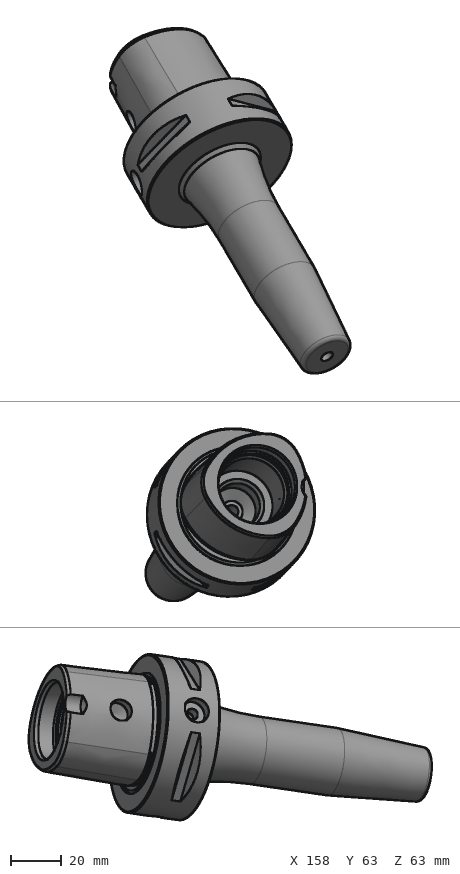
import cadquery as cq
import math

total_length = 158.0
flange_start = 37.8
flange_end = 60.0
flange_diameter = 63.0
flange_radius = flange_diameter / 2
flange_chamfer = 0.5
rim_feature_x = 50.1

taper_end = 35.9
lobe_tip_radius = 23.2
flat_radius = 21.0
lobe_arc_radius = 14.4
taper_slope = 1 / 40
shank_end_inset = 0.71
shank_end_length = 1.5
neck_inset = 0.3
neck_turned_radius = 22.1
neck_turned_start = 36.8

ring_outer_radius = 24.0
ring_inner_radius = 22.8
ring_depth = 1.0

collar_radius = 17.9
stem_flare_radius = 16.5
stem_flare_start = 62.0
stem_radius = 13.5
stem_start = 86.7
nose_taper_start = 119.6
nose_radius = 10.7
nose_edge_radius = 1.7

drill_point_angle = 118.0

mouth_radius = 16.0
mouth_chamfer_length = 1.6
socket_radius = 15.3
socket_depth = 7.7
land_radius = 14.5
land_start = 8.5
groove_radius = 15.0
groove_start = 9.5
groove_end = 10.7
land_end = 11.7
main_bore_radius = 13.6
main_bore_start = 13.5
main_bore_depth = 34.8
inner_bore_radius = 10.3
inner_bore_chamfer = 1.5
inner_bore_depth = 44.2
cone_end_radius = 4.3
through_hole_radius = 2.5

notch_radius = 4.5
notch_axis_radius = 22.1
notch_depth = 6.5

shank_hole_x = 22.5
shank_hole_radius = 4.5
shank_hole_floor_radius = 16.5
flange_hole_radius = 5.0
flange_hole_floor_radius = 26.9
flange_pilot_radius = 2.2
flange_pilot_floor_radius = 22.1

slot_floor_radius = 27.8
slot_floor_width = 3.6
slot_mouth_width = 7.7
slot_angles = (45, 135, 225, 315)


def polar(radius, degrees):
    """Point in the YZ plane, measured from +Y toward +Z."""
    angle = math.radians(degrees)
    return (radius * math.cos(angle), radius * math.sin(angle))


def lobed_wire(x, inset):
    """Closed outline of three lobe arcs and three side arcs, tangent to each other."""
    tip = lobe_tip_radius - inset
    flat = flat_radius - inset
    lobe_arc = lobe_arc_radius - inset
    lobe_offset = tip - lobe_arc
    gap = flat - lobe_arc
    side_offset = (lobe_offset**2 - gap**2) / (2 * gap - lobe_offset)
    side_arc = flat + side_offset

    lobe_y, lobe_z = lobe_offset, 0.0
    side_y, side_z = polar(side_offset, -120)
    reach = side_arc / (side_arc - lobe_arc)
    joint_y = side_y + (lobe_y - side_y) * reach
    joint_z = side_z + (lobe_z - side_z) * reach
    joint_radius = math.hypot(joint_y, joint_z)
    joint_angle = math.degrees(math.atan2(joint_z, joint_y))

    outline = cq.Workplane("YZ", origin=(x, 0, 0)).moveTo(*polar(joint_radius, -joint_angle))
    for lobe_angle in (0, 120, 240):
        outline = outline.threePointArc(
            polar(tip, lobe_angle), polar(joint_radius, lobe_angle + joint_angle)
        )
        outline = outline.threePointArc(
            polar(flat, lobe_angle + 60), polar(joint_radius, lobe_angle + 120 - joint_angle)
        )
    return outline.close().val()


def lobed_section(start, start_inset, end, end_inset):
    wires = [lobed_wire(start, start_inset), lobed_wire(end, end_inset)]
    return cq.Workplane(cq.Solid.makeLoft(wires, True))


def make_shank():
    taper_start_inset = (taper_end - shank_end_length) * taper_slope
    end_inset = taper_start_inset + shank_end_inset
    lead = lobed_section(0, end_inset, shank_end_length, taper_start_inset)
    taper = lobed_section(shank_end_length, taper_start_inset, taper_end, 0)
    neck = lobed_section(taper_end, neck_inset, flange_start, neck_inset)
    turned_envelope = (
        cq.Workplane("XY")
        .moveTo(taper_end, 0)
        .lineTo(taper_end, lobe_tip_radius)
        .lineTo(neck_turned_start, neck_turned_radius)
        .lineTo(flange_start, neck_turned_radius)
        .lineTo(flange_start, 0)
        .close()
        .revolve(360, (0, 0, 0), (1, 0, 0))
    )
    turned_neck = neck.intersect(turned_envelope)
    return lead.union(taper).union(turned_neck)


def make_flange_and_stem():
    """Revolved flange, concave flare, straight stem and tapered nose."""
    flare_length = stem_start - stem_flare_start
    flare_rise = stem_flare_radius - stem_radius
    flare_arc_radius = (flare_length**2 + flare_rise**2) / (2 * flare_rise)
    half_length = flare_length / 2
    flare_mid = (
        stem_start - half_length,
        stem_radius + flare_arc_radius - math.sqrt(flare_arc_radius**2 - half_length**2),
    )
    body = (
        cq.Workplane("XY")
        .moveTo(flange_start, 0)
        .lineTo(flange_start, flange_radius - flange_chamfer)
        .lineTo(flange_start + flange_chamfer, flange_radius)
        .lineTo(flange_end - flange_chamfer, flange_radius)
        .lineTo(flange_end, flange_radius - flange_chamfer)
        .lineTo(flange_end, collar_radius)
        .lineTo(stem_flare_start, stem_flare_radius)
        .threePointArc(flare_mid, (stem_start, stem_radius))
        .lineTo(nose_taper_start, stem_radius)
        .lineTo(total_length, nose_radius)
        .lineTo(total_length, 0)
        .close()
        .revolve(360, (0, 0, 0), (1, 0, 0))
    )
    body = body.faces(">X").edges().fillet(nose_edge_radius)
    ring_groove = (
        cq.Workplane("XY")
        .moveTo(flange_start, ring_inner_radius)
        .lineTo(flange_start, ring_outer_radius)
        .lineTo(flange_start + ring_depth, ring_outer_radius)
        .close()
        .revolve(360, (0, 0, 0), (1, 0, 0))
    )
    return body.cut(ring_groove)


def drill_point_length(radius_drop):
    return radius_drop / math.tan(math.radians(drill_point_angle / 2))


def make_bore():
    """Stepped, grooved bore narrowing through a cone to the through hole."""
    cone_start_radius = inner_bore_radius - inner_bore_chamfer
    cone_end = inner_bore_depth + drill_point_length(cone_start_radius - cone_end_radius)
    profile = [
        (0, 0),
        (0, mouth_radius),
        (mouth_chamfer_length, socket_radius),
        (socket_depth, socket_radius),
        (land_start, land_radius),
        (groove_start, land_radius),
        (groove_start, groove_radius),
        (groove_end, groove_radius),
        (groove_end, land_radius),
        (land_end, land_radius),
        (main_bore_start, main_bore_radius),
        (main_bore_depth, main_bore_radius),
        (main_bore_depth, inner_bore_radius),
        (main_bore_depth + inner_bore_chamfer, cone_start_radius),
        (inner_bore_depth, cone_start_radius),
        (cone_end, cone_end_radius),
        (cone_end, through_hole_radius),
        (total_length, through_hole_radius),
        (total_length, 0),
    ]
    return cq.Workplane("XY").polyline(profile).close().revolve(360, (0, 0, 0), (1, 0, 0))


def drilled_hole(start, direction, radius, depth):
    """Cylinder with a conical drill point beyond its full-diameter depth."""
    point_length = drill_point_length(radius)
    start = cq.Vector(*start)
    direction = cq.Vector(*direction)
    barrel = cq.Solid.makeCylinder(radius, depth, start, direction)
    point = cq.Solid.makeCone(radius, 0, point_length, start + direction * depth, direction)
    return cq.Workplane(barrel).union(cq.Workplane(point))


def radial_hole(x, radius, floor_radius):
    depth = flange_radius - floor_radius
    return drilled_hole((x, -flange_radius, 0), (0, 1, 0), radius, depth)


def make_key_notch():
    start = (0, -notch_axis_radius, 0)
    return drilled_hole(start, (1, 0, 0), notch_radius, notch_depth)


def make_flange_hole():
    depth = flange_radius - flange_hole_floor_radius
    start = cq.Vector(rim_feature_x, -flange_radius, 0)
    barrel = cq.Solid.makeCylinder(flange_hole_radius, depth, start, cq.Vector(0, 1, 0))
    counterbore = cq.Workplane(barrel)
    pilot = radial_hole(rim_feature_x, flange_pilot_radius, flange_pilot_floor_radius)
    return counterbore.union(pilot)


def make_slot(angle):
    """Straight slot with sloping sides, tangential to the rim."""
    return (
        cq.Workplane("XY")
        .moveTo(rim_feature_x - slot_floor_width / 2, slot_floor_radius)
        .lineTo(rim_feature_x + slot_floor_width / 2, slot_floor_radius)
        .lineTo(rim_feature_x + slot_mouth_width / 2, flange_radius)
        .lineTo(rim_feature_x - slot_mouth_width / 2, flange_radius)
        .close()
        .extrude(flange_radius, both=True)
        .rotate((0, 0, 0), (1, 0, 0), angle)
    )


result = make_flange_and_stem().union(make_shank())
result = result.cut(make_bore())
result = result.cut(make_key_notch())
result = result.cut(radial_hole(shank_hole_x, shank_hole_radius, shank_hole_floor_radius))
result = result.cut(make_flange_hole())
for slot_angle in slot_angles:
    result = result.cut(make_slot(slot_angle))